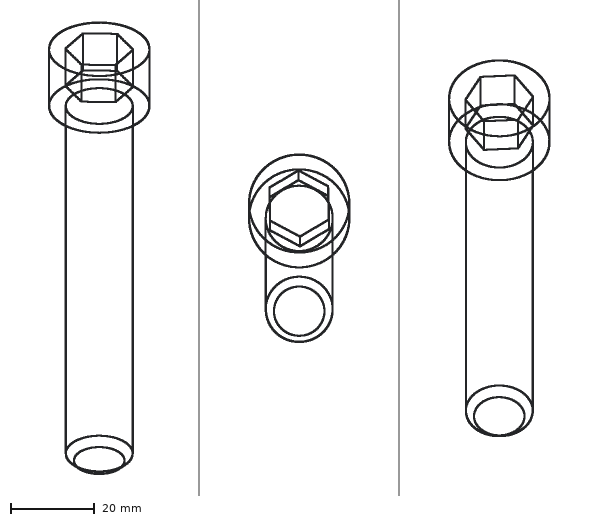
import cadquery as cq
import math

total_length = 116.0
shank_diameter = 16.0
head_diameter = 24.0
head_height = shank_diameter
shank_length = total_length - head_height
tip_chamfer = 2.0
socket_across_flats = 14.0
socket_sides = 6
socket_depth = 10.4


def make_head():
    """Plain cylindrical head standing on the seat plane."""
    return cq.Workplane("XY").circle(head_diameter / 2).extrude(head_height)


def make_shank():
    """Plain round shank below the head, chamfered at its tip."""
    shank = cq.Workplane("XY").circle(shank_diameter / 2).extrude(-shank_length)
    return shank.faces("<Z").chamfer(tip_chamfer)


def make_socket():
    """Hexagonal socket with two corners on the X axis."""
    across_corners = socket_across_flats / math.cos(math.pi / socket_sides)
    top_plane = cq.Workplane("XY").workplane(offset=head_height)
    return top_plane.polygon(socket_sides, across_corners).extrude(-socket_depth)


result = make_head().union(make_shank()).cut(make_socket())